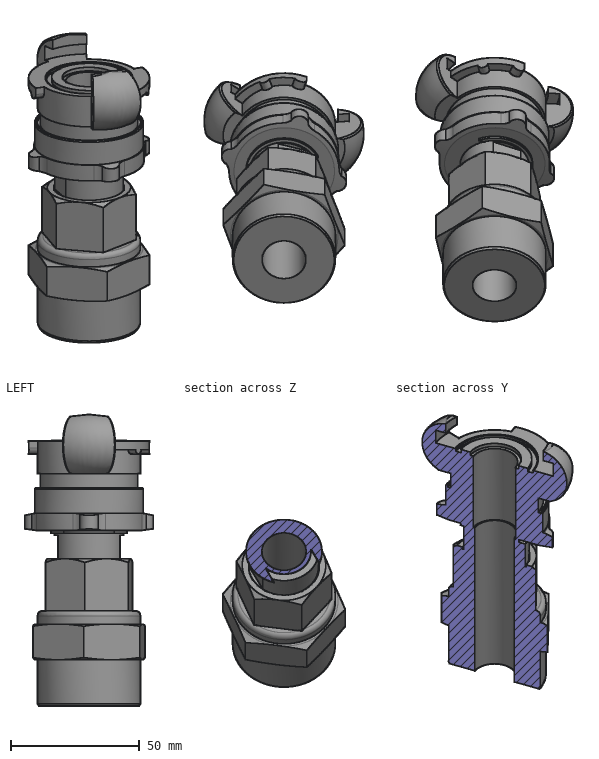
import cadquery as cq
import math

bore_d = 17.0
spigot_d = 40.0
spigot_chamfer = 1.0
shoulder_top = 37.0
shoulder_fillet = 2.0

large_hex_flats = 41.7
large_hex_bottom = 18.0
large_hex_top = 31.85
large_hex_bevel = 15.0
small_hex_flats = 32.4
small_hex_top = 57.2
small_hex_bevel = 30.0
hex_turn = -5.0

shank_d = 26.8
shank_flats = 24.12
shank_top = 67.0
shank_seat_d = 27.5
shank_seat_depth = 1.0
flats_top = 66.3
groove_d = 21.0
ring_d = 29.6
ring_gap = 19.6

collar_bottom = 68.0
flange_top = 74.8
collar_top = 84.7
sleeve_d = 42.2
flange_d = 42.8
sleeve_chamfer = 0.5
sleeve_mouth_d = 40.4
sleeve_mouth_depth = 1.0
lug_count = 4
lug_reach = 25.0
lug_foot_y = 6.4
lug_flank_x = 22.3
lug_flank_y = 3.5
flange_bevel_start_r = 19.5
flange_bevel_drop = 0.75

head_bore_d = 18.0
neck_d = 38.0
neck_top = 90.25
head_d = 40.0
head_top = 102.9
lip_d = 47.0
lip_thickness = 3.4
stop_r = 2.5
bump_r = 2.0
bump_angle = 35.0
ridge_bottom = head_top - 5.1

seal_top = 103.2
seal_d = 29.0
seal_bore_d = 20.7
seal_bore_depth = 1.5
seal_groove_d = 34.0
seal_groove_depth = 1.2
seal_groove_wall_d = 33.2
seal_groove_chamfer = 0.2

claw_span = 62.87
total_height = 113.24
claw_dome_r = 12.0
claw_sweep_r = 21.0
claw_half_angle = 20.0
claw_edge_chamfer = 0.6
claw_roof_slope = 6.2
claw_tip_r = 21.0
claw_slot_r = 25.4
claw_slot_top = 108.7


def cylinder(diameter, bottom, top):
    return cq.Workplane("XY").workplane(offset=bottom).circle(diameter / 2).extrude(top - bottom)


def revolved(points):
    """Solid of revolution about Z from (radius, height) points."""
    return cq.Workplane("XZ").polyline(points).close().revolve(360, (0, 0, 0), (0, 1, 0))


def hexagon(flats, bottom, top, top_bevel, bottom_bevel):
    """Hexagonal prism with conical bevels, given in degrees, that start at the inscribed circle."""
    flat_r = flats / 2
    corner_r = flats / math.sqrt(3)
    top_drop = (corner_r - flat_r) * math.tan(math.radians(top_bevel))
    bottom_rise = (corner_r - flat_r) * math.tan(math.radians(bottom_bevel))
    prism = cq.Workplane("XY").workplane(offset=bottom).polygon(6, 2 * corner_r).extrude(top - bottom)
    envelope = revolved([
        (0, bottom),
        (flat_r, bottom),
        (corner_r, bottom + bottom_rise),
        (corner_r, top - top_drop),
        (flat_r, top),
        (0, top),
    ])
    return prism.intersect(envelope).rotate((0, 0, 0), (0, 0, 1), hex_turn)


def lower_body():
    """Spigot with two hexagons and a shallow seat for the shank."""
    spigot = cylinder(spigot_d, 0, shoulder_top)
    spigot = spigot.faces(">Z").edges().fillet(shoulder_fillet)
    spigot = spigot.faces("<Z").edges().chamfer(spigot_chamfer, spigot_chamfer / 2)
    large_hex = hexagon(large_hex_flats, large_hex_bottom, large_hex_top, large_hex_bevel, large_hex_bevel)
    small_hex = hexagon(small_hex_flats, shoulder_top, small_hex_top, small_hex_bevel, 0)
    seat = cylinder(shank_seat_d, small_hex_top - shank_seat_depth, small_hex_top)
    return spigot.union(large_hex).union(small_hex).cut(seat)


def shank():
    """Round shank with two flats facing +Y and -Y, and the ring groove above it."""
    bottom = small_hex_top - shank_seat_depth
    body = cylinder(shank_d, bottom, shank_top)
    flats = cq.Workplane("XY").workplane(offset=bottom)
    flats = flats.rect(shank_d, shank_flats).extrude(flats_top - bottom)
    plain = cylinder(shank_d, flats_top, shank_top)
    return body.intersect(flats.union(plain)).union(cylinder(groove_d, shank_top, collar_bottom))


def retaining_ring():
    """Ring in the shank groove, open towards -X."""
    ring = cylinder(ring_d, shank_top, collar_bottom)
    gap = cq.Workplane("XY").workplane(offset=shank_top)
    gap = gap.center(-ring_d / 2, 0).rect(ring_d, ring_gap).extrude(collar_bottom - shank_top)
    return ring.cut(gap)


def lug():
    """Rounded lug on +X whose concave flanks start tangent to the flange cylinder."""
    flange_r = flange_d / 2
    foot_angle = math.asin(lug_foot_y / flange_r)
    foot_x = flange_r * math.cos(foot_angle)
    rise_x = lug_flank_x - foot_x
    rise_y = lug_flank_y - lug_foot_y
    outward_rise = rise_x * math.cos(foot_angle) + rise_y * math.sin(foot_angle)
    hollow_r = (rise_x**2 + rise_y**2) / (2 * outward_rise)
    centre_x = (flange_r + hollow_r) * math.cos(foot_angle)
    centre_y = (flange_r + hollow_r) * math.sin(foot_angle)
    flank_angle = math.atan2(lug_flank_y - centre_y, lug_flank_x - centre_x) % (2 * math.pi)
    middle_angle = (foot_angle + math.pi + flank_angle) / 2
    hollow_x = centre_x + hollow_r * math.cos(middle_angle)
    hollow_y = centre_y + hollow_r * math.sin(middle_angle)
    return (
        cq.Workplane("XY").workplane(offset=collar_bottom)
        .lineTo(foot_x, lug_foot_y)
        .threePointArc((hollow_x, hollow_y), (lug_flank_x, lug_flank_y))
        .threePointArc((lug_reach, 0), (lug_flank_x, -lug_flank_y))
        .threePointArc((hollow_x, -hollow_y), (foot_x, -lug_foot_y))
        .close()
        .extrude(flange_top - collar_bottom)
    )


def collar():
    """Sleeve on a bevelled flange that carries evenly spaced lugs."""
    flange = cylinder(flange_d, collar_bottom, flange_top)
    for i in range(lug_count):
        flange = flange.union(lug().rotate((0, 0, 0), (0, 0, 1), i * 360 / lug_count))
    bevelled = revolved([
        (0, collar_bottom),
        (flange_bevel_start_r, collar_bottom),
        (lug_reach, collar_bottom + flange_bevel_drop),
        (lug_reach, flange_top - flange_bevel_drop),
        (flange_d / 2, flange_top),
        (0, flange_top),
    ])
    sleeve = cylinder(sleeve_d, flange_top - flange_bevel_drop, collar_top)
    sleeve = sleeve.faces(">Z").edges().chamfer(sleeve_chamfer)
    sleeve = sleeve.cut(cylinder(sleeve_mouth_d, collar_top - sleeve_mouth_depth, collar_top))
    return flange.intersect(bevelled).union(sleeve)


def radial_ridge(radius, angle):
    """Rib below the lip with a rounded underside, pointing outwards at an angle from -Y."""
    ridge = (
        cq.Workplane("XZ")
        .moveTo(-radius, head_top)
        .lineTo(-radius, ridge_bottom + radius)
        .threePointArc((0, ridge_bottom), (radius, ridge_bottom + radius))
        .lineTo(radius, head_top)
        .close()
        .extrude(lip_d)
    )
    return ridge.rotate((0, 0, 0), (0, 0, 1), -angle)


def lip():
    """Flange on the -Y side, from its flat stop face round to the -X claw."""
    far = lip_d
    claw_side = far * math.tan(math.radians(claw_half_angle))
    plate = (
        cq.Workplane("XY").workplane(offset=head_top - lip_thickness)
        .polyline([(0, 0), (0, -far), (-far, -far), (-far, -claw_side)])
        .close()
        .extrude(lip_thickness)
    )
    ridges = radial_ridge(stop_r, 0).union(radial_ridge(bump_r, bump_angle))
    return plate.union(ridges).intersect(cylinder(lip_d, ridge_bottom, head_top))


def claw():
    """Domed claw on +X: a round section swept about an upright axis, cut to a radial wedge."""
    dome_x = claw_span / 2 - claw_dome_r
    dome_z = total_height - math.sqrt(claw_dome_r**2 - (claw_tip_r - dome_x) ** 2)
    dome_top = dome_z + claw_dome_r
    sweep_x = claw_span / 2 - claw_sweep_r
    dome = (
        cq.Workplane("XZ")
        .moveTo(dome_x, dome_z - claw_dome_r)
        .threePointArc((dome_x + claw_dome_r, dome_z), (dome_x, dome_top))
        .close()
        .revolve(360, (sweep_x, 0, 0), (sweep_x, 1, 0))
    )
    far = claw_span
    slope = math.tan(math.radians(claw_half_angle))
    wedge = (
        cq.Workplane("XY")
        .polyline([
            (sweep_x, -sweep_x * slope),
            (far, -far * slope),
            (far, far * slope),
            (sweep_x, sweep_x * slope),
        ])
        .close()
        .extrude(dome_top)
    )
    body = dome.intersect(wedge).edges("%BSPLINE").chamfer(claw_edge_chamfer)
    eaves = total_height - far * math.tan(math.radians(claw_roof_slope))
    roof = (
        cq.Workplane("YZ")
        .polyline([(-far, neck_top), (far, neck_top), (far, eaves), (0, total_height), (-far, eaves)])
        .close()
        .extrude(far)
    )
    return (
        body.intersect(roof)
        .cut(cylinder(2 * claw_tip_r, head_top, dome_top))
        .cut(cylinder(neck_d, neck_top, head_top))
        .cut(cylinder(2 * claw_slot_r, head_top, claw_slot_top))
    )


def head():
    """Coupling head with two opposite lips and claws, and the seal insert in its face."""
    neck = cylinder(neck_d, collar_top - sleeve_mouth_depth, neck_top)
    body = neck.union(cylinder(head_d, neck_top, head_top))
    for turn in (0, 180):
        body = body.union(lip().rotate((0, 0, 0), (0, 0, 1), turn))
        body = body.union(claw().rotate((0, 0, 0), (0, 0, 1), turn))
    groove = revolved([
        (0, head_top - seal_groove_depth),
        (seal_groove_wall_d / 2, head_top - seal_groove_depth),
        (seal_groove_wall_d / 2, head_top - seal_groove_chamfer),
        (seal_groove_d / 2, head_top),
        (0, head_top),
    ])
    seal = cylinder(seal_d, head_top - seal_groove_depth, seal_top)
    return body.cut(groove).union(seal)


def bore():
    """Through bore, wider in the head and widest in the seal insert."""
    ledge = seal_top - seal_bore_depth
    return (
        cylinder(bore_d, 0, collar_bottom)
        .union(cylinder(head_bore_d, collar_bottom, ledge))
        .union(cylinder(seal_bore_d, ledge, seal_top))
    )


result = (
    lower_body()
    .union(shank())
    .union(retaining_ring())
    .union(collar())
    .union(head())
    .cut(bore())
)